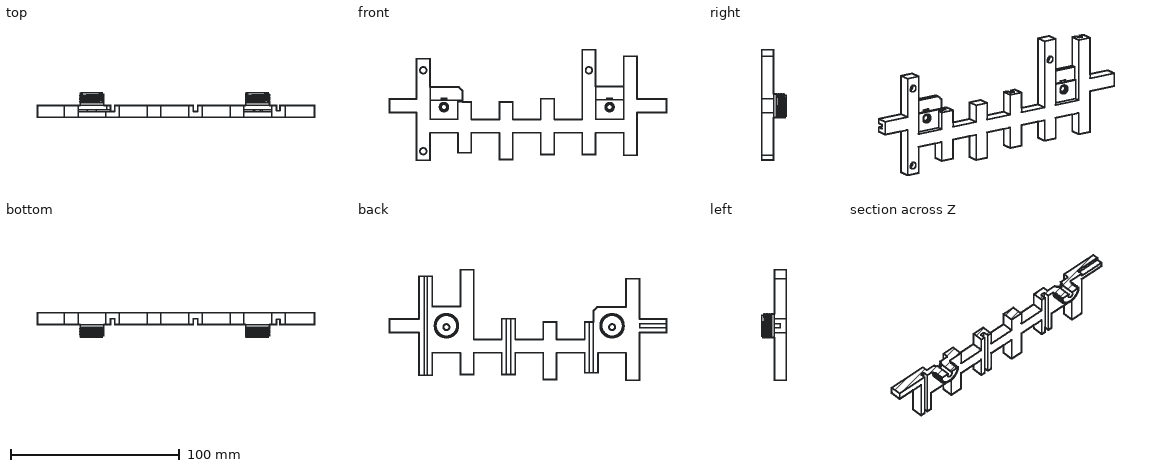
import cadquery as cq

LENGTH = 164.5
DEPTH = 14.6
PLATE_THICKNESS = 7.0
BAR_WIDTH = 8.0

FIRST_POST_X = 20.0
LAST_POST_X = 143.0
POST_ENDS = [
    (-16.3, 44.1),
    (-11.8, 18.5),
    (-15.8, 18.5),
    (-12.8, 20.4),
    (-12.8, 49.4),
    (-13.3, 45.5),
]
POST_PITCH = (LAST_POST_X - FIRST_POST_X) / (len(POST_ENDS) - 1)
ARM_Z = 16.1

SLOT_WIDTH = 2.5
SLOT_DEPTH = 3.5
LAST_SLOT_WIDTH = 2.0
LAST_SLOT_DEPTH = 3.1
SLOTTED_POSTS = [
    (1, SLOT_WIDTH, SLOT_DEPTH),
    (3, SLOT_WIDTH, SLOT_DEPTH),
    (5, LAST_SLOT_WIDTH, LAST_SLOT_DEPTH),
]

BLIND_HOLE_DIAMETER = 4.0
BLIND_HOLE_DEPTH = 3.5
BLIND_HOLES = [(0, 37.2), (0, -10.9), (4, 37.2)]

PAD_FRONT_Y = 3.5
PAD_LIP_FRONT_Y = 4.5
LEFT_PAD_STEP_Z = 19.4
RIGHT_PAD_STEP_Z = 19.7
PAD_LIP_HEIGHT = 7.9
PAD_CORNER_CHAMFER = 2.3

CONNECTOR_Z = 16.1
THREAD_DIAMETER = 14.2
THREAD_ROOT_DIAMETER = 12.5
COLLAR_LENGTH = 1.6
THREAD_OVERLAP = 0.3
THREAD_PITCH = 1.5
RIDGE_ROOT_WIDTH = 1.0
RIDGE_CREST_WIDTH = 0.5
RIDGE_EMBED = 0.2

BORE_Z = 15.3
BORE_DIAMETER = 3.5
BORE_STEPS = [(5.3, 0.8), (4.8, 1.6)]
KEY_WIDTH = 3.5
KEY_HEIGHT = 1.0
KEY_Z = 20.0


def post_x(number):
    return FIRST_POST_X + number * POST_PITCH


def block(x_range, y_range, z_range):
    """Box spanning the given (low, high) ranges."""
    lows, highs = zip(x_range, y_range, z_range)
    sizes = [high - low for low, high in zip(lows, highs)]
    return cq.Workplane("XY").box(*sizes, centered=False).translate(lows)


def span(center, width):
    return (center - width / 2, center + width / 2)


def rod(x, z, diameter, start_y, end_y):
    """Cylinder along Y, from start_y back to end_y."""
    profile = cq.Workplane("XZ", origin=(x, start_y, z)).circle(diameter / 2)
    return profile.extrude(start_y - end_y)


def lattice():
    plate = (0, PLATE_THICKNESS)
    body = block((FIRST_POST_X, LAST_POST_X), plate, (0, BAR_WIDTH))
    body = body.union(block((0, FIRST_POST_X), plate, span(ARM_Z, BAR_WIDTH)))
    body = body.union(block((LAST_POST_X, LENGTH), plate, span(ARM_Z, BAR_WIDTH)))
    for number, ends in enumerate(POST_ENDS):
        body = body.union(block(span(post_x(number), BAR_WIDTH), plate, ends))
    return body


def pad(x_range, step_z):
    lower = block(x_range, (PAD_FRONT_Y, PLATE_THICKNESS), (BAR_WIDTH, step_z))
    lip = block(x_range, (PAD_LIP_FRONT_Y, PLATE_THICKNESS), (BAR_WIDTH, step_z + PAD_LIP_HEIGHT))
    return lower.union(lip)


def thread_ridge(start_z, end_z):
    """Helical ridge around Z, filling the height from start_z to end_z."""
    root_radius = THREAD_ROOT_DIAMETER / 2
    helix_height = end_z - start_z - RIDGE_ROOT_WIDTH
    helix = cq.Wire.makeHelix(THREAD_PITCH, helix_height, root_radius)
    inner = root_radius - RIDGE_EMBED
    outer = THREAD_DIAMETER / 2
    profile = cq.Workplane("XZ").polyline([
        (inner, -RIDGE_ROOT_WIDTH / 2),
        (outer, -RIDGE_CREST_WIDTH / 2),
        (outer, RIDGE_CREST_WIDTH / 2),
        (inner, RIDGE_ROOT_WIDTH / 2),
    ]).close()
    ridge = profile.sweep(cq.Workplane(obj=helix), isFrenet=True)
    return ridge.translate((0, 0, start_z + RIDGE_ROOT_WIDTH / 2))


def boss(x):
    """Collar and threaded stud, built along Z and then turned to point along +Y."""
    collar_end = PLATE_THICKNESS + COLLAR_LENGTH
    collar = cq.Workplane("XY", origin=(0, 0, PLATE_THICKNESS)).circle(THREAD_DIAMETER / 2)
    collar = collar.extrude(COLLAR_LENGTH)
    core = cq.Workplane("XY", origin=(0, 0, PLATE_THICKNESS)).circle(THREAD_ROOT_DIAMETER / 2)
    core = core.extrude(DEPTH - PLATE_THICKNESS)
    ridge = thread_ridge(collar_end - THREAD_OVERLAP, DEPTH)
    stud = core.union(ridge).union(collar)
    return stud.rotate((0, 0, 0), (1, 0, 0), -90).translate((x, 0, CONNECTOR_Z))


def connector_openings(x):
    """Stepped bore through pad and boss, with the key slot through the pad."""
    openings = rod(x, BORE_Z, BORE_DIAMETER, 0, DEPTH)
    for diameter, depth in BORE_STEPS:
        openings = openings.union(rod(x, BORE_Z, diameter, 0, PAD_FRONT_Y + depth))
    key = block(span(x, KEY_WIDTH), (PAD_FRONT_Y, PLATE_THICKNESS), span(KEY_Z, KEY_HEIGHT))
    return openings.union(key)


def slot_depth_range(depth):
    return (PLATE_THICKNESS - depth, PLATE_THICKNESS)


def rear_slots():
    """A channel along the left arm and full-height channels in the slotted posts."""
    arm_end = FIRST_POST_X - BAR_WIDTH / 2
    slots = block((0, arm_end), slot_depth_range(SLOT_DEPTH), span(ARM_Z, SLOT_WIDTH))
    for number, width, depth in SLOTTED_POSTS:
        post_slot = block(span(post_x(number), width), slot_depth_range(depth), POST_ENDS[number])
        slots = slots.union(post_slot)
    return slots


left_pad = pad((post_x(0), post_x(1) - SLOT_WIDTH / 2), LEFT_PAD_STEP_Z)
left_pad = left_pad.edges("|Y and >X and >Z").chamfer(PAD_CORNER_CHAMFER)
right_pad = pad((post_x(4), post_x(5) - BAR_WIDTH / 2), RIGHT_PAD_STEP_Z)

result = lattice().union(left_pad).union(right_pad).cut(rear_slots())
for hole_post, hole_z in BLIND_HOLES:
    result = result.cut(rod(post_x(hole_post), hole_z, BLIND_HOLE_DIAMETER, 0, BLIND_HOLE_DEPTH))
for left_post in (0, 4):
    connector_x = post_x(left_post) + POST_PITCH / 2
    result = result.union(boss(connector_x)).cut(connector_openings(connector_x))